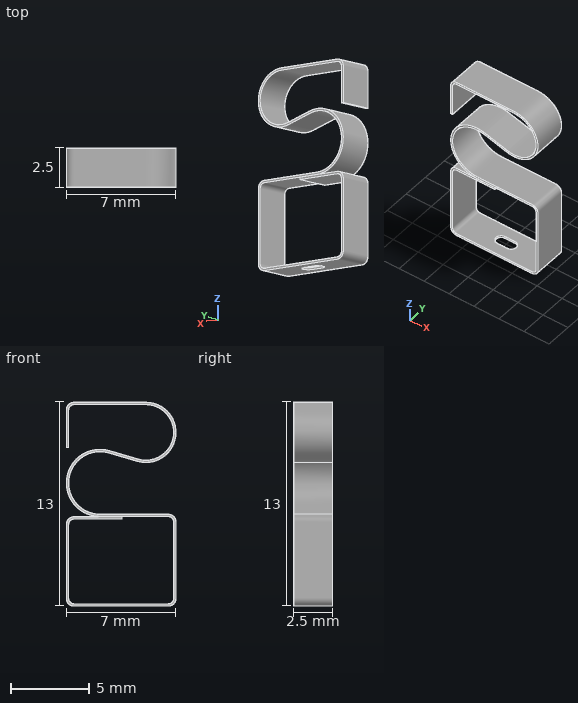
import cadquery as cq
import math

width = 7.0
depth = 2.5
height = 13.0
thickness = 0.15

corner_radius = 0.5
upper_loop_radius = 1.92
lower_loop_radius = 2.15

box_height = 5.71
fold_gap = 0.003
lip_end_height = 10.11
tab_end = 3.56

slot_length = 1.6
slot_width = 0.8

half = thickness / 2
corner_mid = corner_radius - half
upper_mid = upper_loop_radius - half
lower_mid = lower_loop_radius - half

upper_x = width - upper_loop_radius
lower_x = lower_loop_radius
loop_dx = upper_x - lower_x
loop_dz = height - upper_loop_radius - (box_height + fold_gap + lower_loop_radius)
loop_distance = math.hypot(loop_dx, loop_dz)
radius_sum = upper_mid + lower_mid
web_length = math.sqrt(loop_distance**2 - radius_sum**2)
center_slope = math.degrees(math.atan2(loop_dz, loop_dx))
web_slope = math.degrees(math.asin(radius_sum / loop_distance)) - center_slope
loop_turn = 180 + web_slope

corner = ("bend", corner_mid, -90)
strip_path = [
    ("line", height - corner_radius - lip_end_height),
    corner,
    ("line", upper_x - corner_radius),
    ("bend", upper_mid, -loop_turn),
    ("line", web_length),
    ("bend", lower_mid, loop_turn),
    ("line", width - corner_radius - lower_x),
    corner,
    ("line", box_height + fold_gap + thickness - 2 * corner_radius),
    corner,
    ("line", width - 2 * corner_radius),
    corner,
    ("line", box_height - 2 * corner_radius),
    corner,
    ("line", tab_end - corner_radius),
]


def beside(point, heading, offset):
    """Point at a distance to the left of a point, facing along the heading in degrees."""
    angle = math.radians(heading)
    return (point[0] - offset * math.sin(angle), point[1] + offset * math.cos(angle))


def strip_piece(start, heading, step):
    """Make one stretch of strip; return it with the position and heading at its end."""
    if step[0] == "line":
        length = step[1]
        angle = math.radians(heading)
        end = (start[0] + length * math.cos(angle), start[1] + length * math.sin(angle))
        corners = [
            beside(start, heading, half),
            beside(end, heading, half),
            beside(end, heading, -half),
            beside(start, heading, -half),
        ]
        profile = cq.Workplane("XZ").polyline(corners).close()
        return profile.extrude(-depth), end, heading

    radius, turn = step[1:]
    side = math.copysign(1, turn)
    center = beside(start, heading, side * radius)
    middle_heading = heading + turn / 2
    end_heading = heading + turn

    def on_arc(arc_heading, arc_radius):
        return beside(center, arc_heading, -side * arc_radius)

    outer = radius + half
    inner = radius - half
    profile = (
        cq.Workplane("XZ")
        .moveTo(*on_arc(heading, outer))
        .threePointArc(on_arc(middle_heading, outer), on_arc(end_heading, outer))
        .lineTo(*on_arc(end_heading, inner))
        .threePointArc(on_arc(middle_heading, inner), on_arc(heading, inner))
        .close()
    )
    return profile.extrude(-depth), on_arc(end_heading, radius), end_heading


def bent_strip():
    """Join all stretches, starting upward from the free end of the lip."""
    position = (half, lip_end_height)
    heading = 90
    strip = cq.Workplane("XZ")
    for step in strip_path:
        piece, position, heading = strip_piece(position, heading, step)
        strip = strip.union(piece)
    return strip


def floor_slot():
    """Rounded slot in the middle of the box floor."""
    return (
        cq.Workplane("XY")
        .center(width / 2, depth / 2)
        .slot2D(slot_length, slot_width)
        .extrude(thickness)
    )


result = bent_strip().cut(floor_slot())